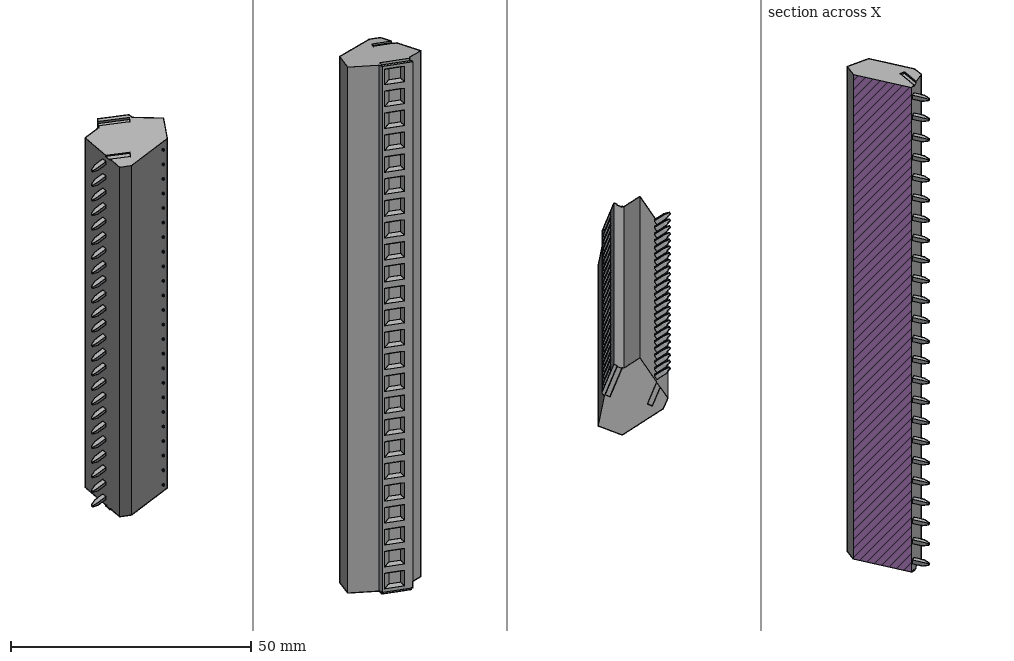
import cadquery as cq
import math

total_height = 122.5
poles = 24

tongue_depth = 0.7
foot_tongue_depth = 0.4
tongue_width = 1.1

body_height = total_height - tongue_depth
body_bottom = -total_height / 2 + tongue_depth
body_top = total_height / 2
pitch = body_height / poles

left_x = -5.1
right_x = 6.7
pin_face_y = -5.9
shoulder_y = 4.9
apex = (2.3, 9.5)
right_top_y = 6.5
corner_chamfer_x = 1.3
corner_chamfer_y = 2.1

entry_corner = (-7.0, -0.6)
entry_angle = math.radians(56)

pocket_depth = 1.1
pocket_rim_start = 1.8
pocket_rim_end = 6.2
pocket_rim_width = 3.5
pocket_floor_start = 2.3
pocket_floor_end = 4.9
pocket_floor_width = 2.7

entry_tongue_inset = 0.7
entry_tongue_end = 6.6
foot_tongue_inset = 9.7
foot_tongue_end = 5.3

pin_x = 0.7
pin_size = 1.0
pin_tip_size = 0.4
pin_tip_y = -9.4
pin_taper_length = 1.2

nub_y = 5.1
nub_size = 0.4
nub_projection = 0.4


def entry_point(along, inward):
    """XY point at a distance along the entry face and a depth into it."""
    cos_a = math.cos(entry_angle)
    sin_a = math.sin(entry_angle)
    x = entry_corner[0] + along * cos_a + inward * sin_a
    y = entry_corner[1] + along * sin_a - inward * cos_a
    return (x, y)


def prism(points, bottom, height):
    return cq.Workplane("XY").workplane(offset=bottom).polyline(points).close().extrude(height)


def housing_outline():
    entry_length = (shoulder_y - entry_corner[1]) / math.sin(entry_angle)
    end_wall_depth = (left_x - entry_corner[0]) / math.sin(entry_angle)
    return [
        (left_x, pin_face_y),
        (right_x - corner_chamfer_x, pin_face_y),
        (right_x, pin_face_y + corner_chamfer_y),
        (right_x, right_top_y),
        apex,
        (apex[0] - (apex[1] - shoulder_y), shoulder_y),
        entry_point(entry_length, 0),
        entry_corner,
        entry_point(0, end_wall_depth),
    ]


def tongue(end, inset, bottom, height):
    """Strip parallel to the entry face, trimmed to the housing outline."""
    strip = prism(
        [
            entry_point(0, inset),
            entry_point(end, inset),
            entry_point(end, inset + tongue_width),
            entry_point(0, inset + tongue_width),
        ],
        bottom,
        height,
    )
    return strip.intersect(prism(housing_outline(), bottom, height))


def entry_tongue(bottom):
    return tongue(entry_tongue_end, entry_tongue_inset, bottom, tongue_depth)


def foot_tongue(bottom):
    return tongue(foot_tongue_end, foot_tongue_inset, bottom, foot_tongue_depth)


def pocket(z):
    """Tapered wire-entry pocket sunk into the entry face."""
    face = cq.Plane(
        origin=(entry_corner[0], entry_corner[1], z),
        xDir=(math.cos(entry_angle), math.sin(entry_angle), 0),
        normal=(math.sin(entry_angle), -math.cos(entry_angle), 0),
    )
    rim_middle = (pocket_rim_start + pocket_rim_end) / 2
    floor_middle = (pocket_floor_start + pocket_floor_end) / 2
    return (
        cq.Workplane(face)
        .center(rim_middle, 0)
        .rect(pocket_rim_end - pocket_rim_start, pocket_rim_width)
        .workplane(offset=pocket_depth)
        .center(floor_middle - rim_middle, 0)
        .rect(pocket_floor_end - pocket_floor_start, pocket_floor_width)
        .loft(ruled=True)
    )


def pin(z):
    """Square solder pin with a tapered tip, pointing towards -Y."""
    taper_start_y = pin_tip_y + pin_taper_length
    root = cq.Plane(origin=(pin_x, pin_face_y, z), xDir=(1, 0, 0), normal=(0, -1, 0))
    return (
        cq.Workplane(root)
        .rect(pin_size, pin_size)
        .extrude(pin_face_y - taper_start_y)
        .faces("<Y")
        .workplane()
        .rect(pin_size, pin_size)
        .workplane(offset=pin_taper_length)
        .rect(pin_tip_size, pin_tip_size)
        .loft(ruled=True, combine=True)
    )


def nub(z):
    """Small block half buried in the right wall."""
    return cq.Workplane("XY").box(2 * nub_projection, nub_size, nub_size).translate((right_x, nub_y, z))


result = prism(housing_outline(), body_bottom, body_height)
result = result.cut(entry_tongue(body_top - tongue_depth))
result = result.cut(foot_tongue(body_top - foot_tongue_depth))
result = result.union(entry_tongue(body_bottom - tongue_depth))
result = result.union(foot_tongue(body_bottom - foot_tongue_depth))

for pole in range(poles):
    pole_z = body_bottom + (pole + 0.5) * pitch
    result = result.cut(pocket(pole_z))
    result = result.union(pin(pole_z))
    result = result.union(nub(pole_z))